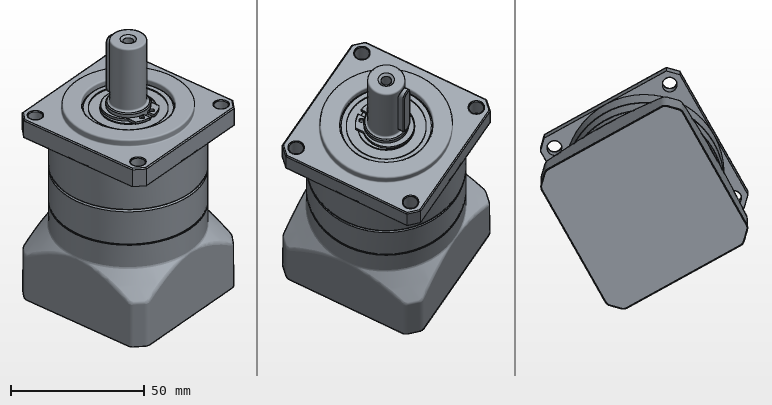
import cadquery as cq
TOTAL_HEIGHT = 113.0
GEAR_RING_BOTTOM = 40.1
GEAR_RING_TOP = 55.5
FLANGE_BOTTOM = 73.0
FLANGE_TOP = 81.0
BEARING_TOP = 82.0
PILOT_TOP = 84.0
COLLAR_TOP = 85.0

BASE_SIZE = 61.0
BASE_CORNER_CHAMFER = 4.9
BASE_DRAFT_ANGLE = 0.5
BASE_CORNER_FILLET = 3.0
BASE_BOTTOM_CHAMFER = 0.3
BASE_SHOULDER_FILLET = 1.7
SHOULDER_TOP = 29.4
NECK_ROOT_FILLET = 1.0
NECK_CHAMFER = 0.3

BARREL_DIAMETER = 60.0
BARREL_RADIUS = BARREL_DIAMETER / 2
JOINT_CHAMFER = 0.6

FLANGE_SIZE = BARREL_DIAMETER
FLANGE_CORNER_CHAMFER = 3.7
FLANGE_EDGE_CHAMFER = 0.5
PILOT_RADIUS = 25.0
PILOT_RIM_FILLET = 0.7
PILOT_ROOT_FILLET = 0.5
BOLT_SPACING = 49.6
BOLT_HOLE_DIAMETER = 5.5
BOLT_HOLE_CHAMFER = 0.3

BEARING_RADIUS = 17.5
BEARING_WIDTH = 10.0
BEARING_RIM_CHAMFER = 0.6
BEARING_GROOVE_OUTER_RADIUS = 15.0
BEARING_GROOVE_INNER_RADIUS = 10.7
BEARING_GROOVE_DEPTH = 0.5
BEARING_BORE_FILLET = 0.7

SHAFT_RADIUS = 7.0
SHAFT_TIP_FILLET = 0.7
COLLAR_RADIUS = 8.5
COLLAR_CHAMFER = 0.5
SHAFT_ROOT_FILLET = 0.7
CENTRE_HOLE_DIAMETER = 4.0
CENTRE_HOLE_DEPTH = 13.6
COUNTERSINK_DIAMETER = 6.1
COUNTERSINK_ANGLE = 110

KEY_LENGTH = 25.0
KEY_WIDTH = 5.0
KEY_HEIGHT = 5.0
KEY_OUTER_X = -9.0
KEY_TOP = 111.1
KEY_CHAMFER = 0.5

CLIP_THICKNESS = 1.0
CLIP_RING_RADIUS = 9.7
CLIP_RING_OFFSET = -0.9
CLIP_LUG_RADIUS = 11.6
CLIP_LUG_HALF_SPAN = 7.1
CLIP_GAP = 2.3
CLIP_EYE_X = 9.0
CLIP_EYE_SPACING = 6.0
CLIP_EYE_DIAMETER = 1.8

BEVEL_ANGLE = 90
THIN = 0.02

BEARING_BOTTOM = BEARING_TOP - BEARING_WIDTH


def disc(radius, bottom, top):
    """Solid cylinder on the Z axis."""
    return cq.Workplane("XY", origin=(0, 0, bottom)).circle(radius).extrude(top - bottom)


def slab_around(height):
    """Opposite corners of a thin box that takes in everything lying at one height."""
    reach = BASE_SIZE
    return (-reach, -reach, height - THIN), (reach, reach, height + THIN)


def chamfered_square(size, corner_chamfer, bottom, height, draft=0):
    """Square block with its four upright corners cut at 45 degrees."""
    half = size / 2
    short = half - corner_chamfer
    outline = [
        (half, -short), (half, short), (short, half), (-short, half),
        (-half, short), (-half, -short), (-short, -half), (short, -half),
    ]
    return (
        cq.Workplane("XY", origin=(0, 0, bottom))
        .polyline(outline)
        .close()
        .extrude(height, taper=draft)
    )


def adapter_turning():
    """Round outline of the adapter: a 45 degree cone running up into the neck."""
    cone_reach = BARREL_RADIUS + SHOULDER_TOP
    cone = cq.Workplane(cq.Solid.makeCone(cone_reach, BARREL_RADIUS, SHOULDER_TOP))
    neck = disc(BARREL_RADIUS, SHOULDER_TOP, GEAR_RING_BOTTOM)
    return (
        cone.union(neck)
        .edges(cq.selectors.BoxSelector(*slab_around(SHOULDER_TOP)))
        .edges("%CIRCLE")
        .fillet(NECK_ROOT_FILLET)
        .faces(">Z")
        .chamfer(NECK_CHAMFER)
    )


def make_motor_adapter():
    """Drafted square base trimmed by the round outline, with its sharp edges rounded."""
    base = chamfered_square(BASE_SIZE, BASE_CORNER_CHAMFER, 0, GEAR_RING_BOTTOM, BASE_DRAFT_ANGLE).val()
    upright_edges = [edge for edge in base.Edges() if edge.BoundingBox().zlen > SHOULDER_TOP]
    base = cq.Workplane(base.fillet(BASE_CORNER_FILLET, upright_edges))
    body = base.intersect(adapter_turning()).val()
    shoulder_edges = [
        edge for edge in body.Edges()
        if SHOULDER_TOP / 2 < edge.BoundingBox().zmin < SHOULDER_TOP - NECK_ROOT_FILLET
        and edge.geomType() not in ("CIRCLE", "LINE")
    ]
    body = body.fillet(BASE_SHOULDER_FILLET, shoulder_edges)
    return cq.Workplane(body).faces("<Z").chamfer(BASE_BOTTOM_CHAMFER)


def make_gear_ring():
    """Plain drum between the adapter and the housing, bevelled along its upper joint."""
    return disc(BARREL_RADIUS, GEAR_RING_BOTTOM, GEAR_RING_TOP).faces(">Z").chamfer(JOINT_CHAMFER)


def make_flange():
    """Square output flange with four countersunk bolt holes."""
    return (
        chamfered_square(FLANGE_SIZE, FLANGE_CORNER_CHAMFER, FLANGE_BOTTOM, FLANGE_TOP - FLANGE_BOTTOM)
        .faces(">Z")
        .chamfer(FLANGE_EDGE_CHAMFER)
        .faces(">Z")
        .workplane()
        .rect(BOLT_SPACING, BOLT_SPACING, forConstruction=True)
        .vertices()
        .cskHole(BOLT_HOLE_DIAMETER, BOLT_HOLE_DIAMETER + 2 * BOLT_HOLE_CHAMFER, BEVEL_ANGLE)
    )


def make_housing():
    """Barrel with a square output flange, a round pilot and the bearing pocket."""
    barrel = disc(BARREL_RADIUS, GEAR_RING_TOP, FLANGE_BOTTOM).faces("<Z").chamfer(JOINT_CHAMFER)
    pilot = disc(PILOT_RADIUS, FLANGE_TOP, PILOT_TOP)
    pocket = disc(BEARING_RADIUS, BEARING_BOTTOM, PILOT_TOP)
    body = barrel.union(make_flange()).union(pilot)
    return (
        body.edges(cq.selectors.BoxSelector(*slab_around(FLANGE_TOP)))
        .edges(cq.selectors.RadiusNthSelector(-1))
        .fillet(PILOT_ROOT_FILLET)
        .faces(">Z")
        .edges()
        .fillet(PILOT_RIM_FILLET)
        .cut(pocket)
        .faces(">Z")
        .edges(cq.selectors.RadiusNthSelector(0))
        .fillet(BEARING_BORE_FILLET)
    )


def make_bearing():
    """Ball bearing as one ring, its upper face grooved between the two races."""
    groove_bottom = BEARING_TOP - BEARING_GROOVE_DEPTH
    groove = disc(BEARING_GROOVE_OUTER_RADIUS, groove_bottom, BEARING_TOP).cut(
        disc(BEARING_GROOVE_INNER_RADIUS, groove_bottom, BEARING_TOP)
    )
    return (
        disc(BEARING_RADIUS, BEARING_BOTTOM, BEARING_TOP)
        .faces(">Z")
        .chamfer(BEARING_RIM_CHAMFER)
        .cut(disc(COLLAR_RADIUS, BEARING_BOTTOM, BEARING_TOP))
        .cut(groove)
    )


def key_blank():
    """Round-ended key with its full height, square-edged."""
    return (
        cq.Workplane("YZ", origin=(KEY_OUTER_X, 0, KEY_TOP - KEY_LENGTH / 2))
        .slot2D(KEY_LENGTH, KEY_WIDTH, 90)
        .extrude(KEY_HEIGHT)
    )


def make_key():
    """Key with its exposed rim bevelled."""
    return key_blank().faces("<X").chamfer(KEY_CHAMFER)


def make_shaft():
    """Stepped shaft with a bearing collar, a keyway and a countersunk centre hole."""
    collar = disc(COLLAR_RADIUS, BEARING_BOTTOM, COLLAR_TOP).faces(">Z").chamfer(COLLAR_CHAMFER)
    journal = disc(SHAFT_RADIUS, COLLAR_TOP, TOTAL_HEIGHT).faces(">Z").edges().fillet(SHAFT_TIP_FILLET)
    return (
        collar.union(journal)
        .edges(cq.selectors.BoxSelector(*slab_around(COLLAR_TOP)))
        .edges(cq.selectors.RadiusNthSelector(0))
        .fillet(SHAFT_ROOT_FILLET)
        .faces(">Z")
        .workplane()
        .cskHole(CENTRE_HOLE_DIAMETER, COUNTERSINK_DIAMETER, COUNTERSINK_ANGLE, CENTRE_HOLE_DEPTH)
        .cut(key_blank())
    )


def make_clip():
    """External retaining ring: eccentric ring, two lugs with plier eyes, and an open gap."""
    plane = cq.Workplane("XY", origin=(0, 0, BEARING_TOP))
    ring = plane.center(CLIP_RING_OFFSET, 0).circle(CLIP_RING_RADIUS).extrude(CLIP_THICKNESS)
    lugs = (
        plane.circle(CLIP_LUG_RADIUS)
        .extrude(CLIP_THICKNESS)
        .intersect(
            plane.center(CLIP_LUG_RADIUS / 2, 0)
            .rect(CLIP_LUG_RADIUS, 2 * CLIP_LUG_HALF_SPAN)
            .extrude(CLIP_THICKNESS)
        )
    )
    bore = plane.circle(COLLAR_RADIUS).extrude(CLIP_THICKNESS)
    gap = plane.center(CLIP_LUG_RADIUS / 2, 0).rect(CLIP_LUG_RADIUS, CLIP_GAP).extrude(CLIP_THICKNESS)
    eyes = (
        plane.center(CLIP_EYE_X, 0)
        .rarray(1.1, CLIP_EYE_SPACING, 1, 2)
        .circle(CLIP_EYE_DIAMETER / 2)
        .extrude(CLIP_THICKNESS)
    )
    return ring.union(lugs).cut(bore).cut(gap).cut(eyes)


adapter = make_motor_adapter()
gear_ring = make_gear_ring()
housing = make_housing()
bearing = make_bearing()
shaft = make_shaft()
key = make_key()
clip = make_clip()

result = cq.Compound.makeCompound([
    adapter.val(),
    gear_ring.val(),
    housing.val(),
    bearing.val(),
    shaft.val(),
    key.val(),
    clip.val(),
])